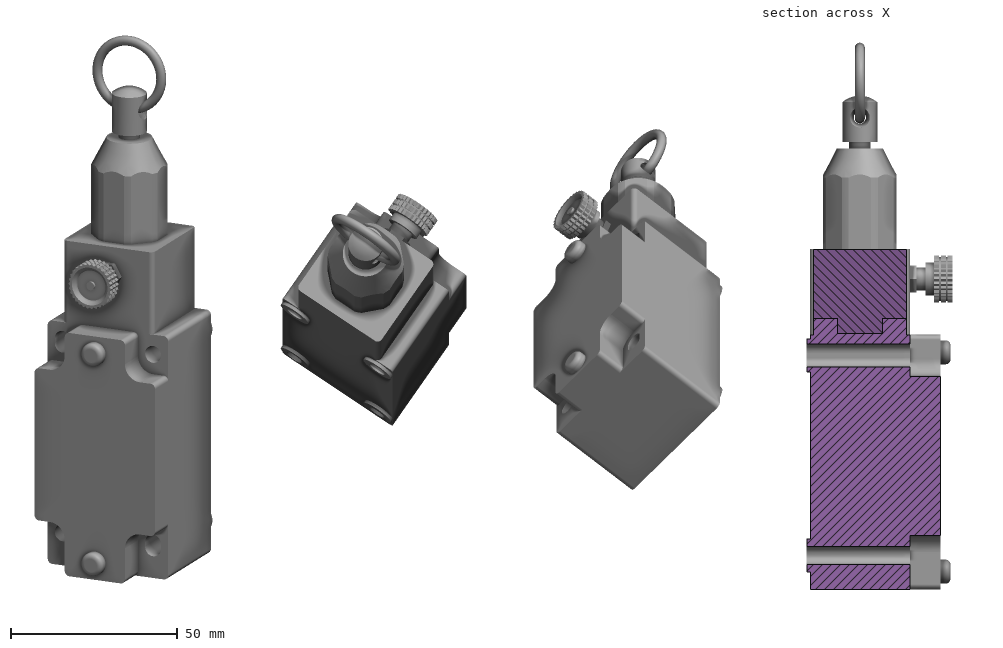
import cadquery as cq
import math


HOUSING_WIDTH = 40.0
HOUSING_HEIGHT = 76.4
HEAD_WIDTH = 30.0
BACK_Y = HEAD_WIDTH / 2
LEDGE_Y = -HEAD_WIDTH / 2
FRONT_Y = -24.2
EDGE_RADIUS = 1.5
COVER_TAB_WIDTH = 20.0
TOP_NOTCH_HEIGHT = 12.4
BOTTOM_NOTCH_HEIGHT = 16.2
NOTCH_RADIUS = 5.0

HOLE_X = 15.0
LOW_HOLE_Z = 10.2
HIGH_HOLE_Z = 70.2
HOLE_DIAMETER = 5.3
SLOT_LENGTH = 6.8
PAD_DIAMETER = 10.0
PAD_HEIGHT = 1.0

SCREW_INSET = 5.3
SCREW_RADIUS = 3.6
SCREW_HEIGHT = 3.0
SCREW_ROUNDING = 1.5

PEDESTAL_HEIGHT = 0.5
LUG_HEIGHT = 4.5
TONGUE_WIDTH = 13.4

HEAD_TOP_Z = 102.1
BARREL_FLATS = 8
BARREL_ACROSS_FLATS = 22.0
BARREL_RADIUS = 11.5
BARREL_TOP_RADIUS = 6.9
BARREL_TOP_Z = 132.3
BARREL_CONE_Z = 123.5

ROD_RADIUS = 5.25
NECK_RADIUS = 3.25
NECK_HALF_LENGTH = 0.95
EYE_SHOULDER_Z = 146.2
DOME_HEIGHT = 1.9
EYE_HOLE_Z = 141.55
EYE_THROAT_RADIUS = 1.8
EYE_MOUTH_RADIUS = 2.95

RING_TOP_Z = 164.0
RING_WIRE_RADIUS = 1.5
RING_MEAN_RADIUS = 10.6

KNOB_Z = 93.1
KNOB_NUT_ACROSS_FLATS = 8.0
KNOB_NUT_SIDES = 6
KNOB_NUT_LENGTH = 2.0
KNOB_NECK_RADIUS = 3.5
KNOB_NECK_LENGTH = 2.7
KNOB_COLLAR_RADIUS = 5.0
KNOB_FRONT_Y = -27.8
KNURL_RADIUS = 7.1
KNURL_ROOT_RADIUS = 6.6
KNURL_BANDS = 3
KNURL_BAND_LENGTH = 1.5
KNURL_GAP = 0.5
KNURL_TEETH = 30
RECESS_RIM_RADIUS = 5.9
RECESS_FLOOR_RADIUS = 4.7
RECESS_DEPTH = 1.2
KNOB_PIN_RADIUS = 1.3
KNOB_PIN_HEIGHT = 0.8

PEDESTAL_TOP_Z = HOUSING_HEIGHT + PEDESTAL_HEIGHT
LUG_TOP_Z = PEDESTAL_TOP_Z + LUG_HEIGHT
NECK_JOINT_Z = BARREL_TOP_Z + NECK_HALF_LENGTH
EYE_BOTTOM_Z = NECK_JOINT_Z + NECK_HALF_LENGTH
RING_Z = RING_TOP_Z - RING_WIRE_RADIUS - RING_MEAN_RADIUS
LUG_SIZE = (HEAD_WIDTH - TONGUE_WIDTH) / 2
LUG_CENTER = (HEAD_WIDTH - LUG_SIZE) / 2
KNURL_LENGTH = KNURL_BANDS * KNURL_BAND_LENGTH + (KNURL_BANDS - 1) * KNURL_GAP


def box_on(width, depth, bottom_z, top_z):
    """Box centred on the Z axis between two heights."""
    return cq.Workplane("XY").workplane(offset=bottom_z).rect(width, depth).extrude(top_z - bottom_z)


def round_column(radius, bottom_z, top_z):
    """Cylinder on the Z axis between two heights."""
    return cq.Workplane("XY").workplane(offset=bottom_z).circle(radius).extrude(top_z - bottom_z)


def facing_front(y, x=0.0, z=0.0):
    """Workplane at depth y, looking toward -Y; its local axes are X and Z."""
    return cq.Workplane("XZ", origin=(x, y, z))


def across_corners(across_flats, sides):
    """Corner-to-corner size of an even-sided regular polygon."""
    return across_flats / math.cos(math.pi / sides)


def head_square(bottom_z, top_z):
    """Square column of the head, with rounded vertical edges."""
    return box_on(HEAD_WIDTH, HEAD_WIDTH, bottom_z, top_z).edges("|Z").fillet(EDGE_RADIUS)


def front_plate(width, height, center_z):
    """Plate from the ledges to the cover face, with rounded corners."""
    return (
        facing_front(LEDGE_Y, z=center_z)
        .rect(width, height)
        .extrude(LEDGE_Y - FRONT_Y)
        .edges("|Y")
        .fillet(EDGE_RADIUS)
    )


def cover_front():
    """Front layer of the housing: a tall tab crossed by a full-width belt."""
    belt_height = HOUSING_HEIGHT - TOP_NOTCH_HEIGHT - BOTTOM_NOTCH_HEIGHT
    belt_z = BOTTOM_NOTCH_HEIGHT + belt_height / 2
    tab = front_plate(COVER_TAB_WIDTH, HOUSING_HEIGHT, HOUSING_HEIGHT / 2)
    belt = front_plate(HOUSING_WIDTH, belt_height, belt_z)

    margin = 0.1
    reach_x = COVER_TAB_WIDTH / 2 + margin
    reach_z = belt_height / 2 + margin
    crossing = cq.selectors.BoxSelector(
        (-reach_x, FRONT_Y, belt_z - reach_z), (reach_x, LEDGE_Y, belt_z + reach_z)
    )
    return tab.union(belt).edges("|Y").edges(crossing).fillet(NOTCH_RADIUS)


def screw_head(z):
    """Rounded screw head on the cover."""
    return (
        facing_front(FRONT_Y, z=z)
        .circle(SCREW_RADIUS)
        .extrude(SCREW_HEIGHT)
        .faces("<Y")
        .edges()
        .fillet(SCREW_ROUNDING)
    )


def make_housing():
    depth = BACK_Y - LEDGE_Y
    housing = (
        facing_front(BACK_Y, z=HOUSING_HEIGHT / 2)
        .rect(HOUSING_WIDTH, HOUSING_HEIGHT)
        .extrude(depth)
        .edges("|Y")
        .fillet(EDGE_RADIUS)
        .union(cover_front())
    )

    lugs = (
        box_on(LUG_SIZE, LUG_SIZE, PEDESTAL_TOP_Z, LUG_TOP_Z)
        .translate((LUG_CENTER, LUG_CENTER, 0))
    )
    lugs = lugs.union(lugs.mirror("YZ"))
    lugs = lugs.union(lugs.mirror("XZ"))
    lugs = lugs.intersect(head_square(HOUSING_HEIGHT, LUG_TOP_Z))
    housing = housing.union(head_square(HOUSING_HEIGHT, PEDESTAL_TOP_Z)).union(lugs)

    for z in (SCREW_INSET, HOUSING_HEIGHT - SCREW_INSET):
        housing = housing.union(screw_head(z))

    for x in (-HOLE_X, HOLE_X):
        for z in (LOW_HOLE_Z, HIGH_HOLE_Z):
            pad = facing_front(BACK_Y + PAD_HEIGHT, x, z).circle(PAD_DIAMETER / 2).extrude(PAD_HEIGHT)
            housing = housing.union(pad)
    cut_depth = depth + PAD_HEIGHT
    for x, hole_z, slot_z in ((-HOLE_X, LOW_HOLE_Z, HIGH_HOLE_Z), (HOLE_X, HIGH_HOLE_Z, LOW_HOLE_Z)):
        hole = facing_front(BACK_Y + PAD_HEIGHT, x, hole_z).circle(HOLE_DIAMETER / 2).extrude(cut_depth)
        slot = (
            facing_front(BACK_Y + PAD_HEIGHT, x, slot_z)
            .slot2D(SLOT_LENGTH, HOLE_DIAMETER, 90)
            .extrude(cut_depth)
        )
        housing = housing.cut(hole).cut(slot)
    return housing


def knurl_band(y):
    """Toothed band whose rear face is at depth y."""
    tooth_angle = 2 * math.pi / KNURL_TEETH
    outline = []
    for tooth in range(KNURL_TEETH):
        tip = tooth * tooth_angle
        root = tip + tooth_angle / 2
        outline.append((KNURL_RADIUS * math.cos(tip), KNURL_RADIUS * math.sin(tip)))
        outline.append((KNURL_ROOT_RADIUS * math.cos(root), KNURL_ROOT_RADIUS * math.sin(root)))
    return facing_front(y, z=KNOB_Z).polyline(outline).close().extrude(KNURL_BAND_LENGTH)


def make_knob():
    neck_y = LEDGE_Y - KNOB_NUT_LENGTH
    collar_y = neck_y - KNOB_NECK_LENGTH
    knurl_y = KNOB_FRONT_Y + KNURL_LENGTH
    floor_y = KNOB_FRONT_Y + RECESS_DEPTH

    nut = (
        facing_front(LEDGE_Y, z=KNOB_Z)
        .polygon(KNOB_NUT_SIDES, across_corners(KNOB_NUT_ACROSS_FLATS, KNOB_NUT_SIDES))
        .extrude(KNOB_NUT_LENGTH)
    )
    neck = facing_front(neck_y, z=KNOB_Z).circle(KNOB_NECK_RADIUS).extrude(KNOB_NECK_LENGTH)
    collar = facing_front(collar_y, z=KNOB_Z).circle(KNOB_COLLAR_RADIUS).extrude(collar_y - knurl_y)
    core = facing_front(knurl_y, z=KNOB_Z).circle(KNURL_ROOT_RADIUS).extrude(KNURL_LENGTH)
    knob = nut.union(neck).union(collar).union(core)
    for band in range(KNURL_BANDS):
        knob = knob.union(knurl_band(knurl_y - band * (KNURL_BAND_LENGTH + KNURL_GAP)))

    recess = (
        facing_front(floor_y, z=KNOB_Z)
        .circle(RECESS_FLOOR_RADIUS)
        .workplane(offset=RECESS_DEPTH)
        .circle(RECESS_RIM_RADIUS)
        .loft()
    )
    pin = facing_front(floor_y, z=KNOB_Z).circle(KNOB_PIN_RADIUS).extrude(KNOB_PIN_HEIGHT)
    return knob.cut(recess).union(pin)


def make_barrel():
    """Coned round barrel with eight flats."""
    turned = (
        cq.Workplane("XZ")
        .moveTo(0, HEAD_TOP_Z)
        .lineTo(BARREL_RADIUS, HEAD_TOP_Z)
        .lineTo(BARREL_RADIUS, BARREL_CONE_Z)
        .lineTo(BARREL_TOP_RADIUS, BARREL_TOP_Z)
        .lineTo(0, BARREL_TOP_Z)
        .close()
        .revolve(360, (0, 0, 0), (0, 1, 0))
    )
    flats = (
        cq.Workplane("XY")
        .workplane(offset=HEAD_TOP_Z)
        .transformed(rotate=(0, 0, 180 / BARREL_FLATS))
        .polygon(BARREL_FLATS, across_corners(BARREL_ACROSS_FLATS, BARREL_FLATS))
        .extrude(BARREL_TOP_Z - HEAD_TOP_Z)
    )
    return turned.intersect(flats)


def make_head():
    """Head block and barrel, with the rod bore and the reset knob."""
    cross = box_on(TONGUE_WIDTH, HEAD_WIDTH, PEDESTAL_TOP_Z, LUG_TOP_Z).union(
        box_on(HEAD_WIDTH, TONGUE_WIDTH, PEDESTAL_TOP_Z, LUG_TOP_Z)
    )
    block = head_square(LUG_TOP_Z, HEAD_TOP_Z).union(cross)
    bore = round_column(ROD_RADIUS, HEAD_TOP_Z, BARREL_TOP_Z)
    return block.union(make_barrel()).cut(bore).union(make_knob())


def make_rod():
    """Rod flush with the barrel top, carrying the lower half of the neck."""
    shaft = round_column(ROD_RADIUS, HEAD_TOP_Z, BARREL_TOP_Z)
    neck = round_column(NECK_RADIUS, BARREL_TOP_Z, NECK_JOINT_Z)
    return shaft.union(neck)


def eye_hole():
    """Cross hole along X: a curved throat opening into a straight mouth at each side."""
    mouth_x = math.sqrt(ROD_RADIUS**2 - EYE_MOUTH_RADIUS**2)
    return (
        cq.Workplane("XZ", origin=(0, 0, EYE_HOLE_Z))
        .moveTo(-ROD_RADIUS, 0)
        .lineTo(-ROD_RADIUS, EYE_MOUTH_RADIUS)
        .lineTo(-mouth_x, EYE_MOUTH_RADIUS)
        .threePointArc((0, EYE_THROAT_RADIUS), (mouth_x, EYE_MOUTH_RADIUS))
        .lineTo(ROD_RADIUS, EYE_MOUTH_RADIUS)
        .lineTo(ROD_RADIUS, 0)
        .close()
        .revolve(360, (0, 0, 0), (1, 0, 0))
    )


def make_eye():
    """Domed pull eye, standing on the upper half of the neck."""
    dome_top_z = EYE_SHOULDER_Z + DOME_HEIGHT
    dome_radius = (ROD_RADIUS**2 + DOME_HEIGHT**2) / (2 * DOME_HEIGHT)
    dome_x = ROD_RADIUS / 2
    dome_z = dome_top_z - dome_radius + math.sqrt(dome_radius**2 - dome_x**2)
    turned = (
        cq.Workplane("XZ")
        .moveTo(0, NECK_JOINT_Z)
        .lineTo(NECK_RADIUS, NECK_JOINT_Z)
        .lineTo(NECK_RADIUS, EYE_BOTTOM_Z)
        .lineTo(ROD_RADIUS, EYE_BOTTOM_Z)
        .lineTo(ROD_RADIUS, EYE_SHOULDER_Z)
        .threePointArc((dome_x, dome_z), (0, dome_top_z))
        .close()
        .revolve(360, (0, 0, 0), (0, 1, 0))
    )
    return turned.cut(eye_hole())


def make_ring():
    """Wire ring in the XZ plane, threaded through the eye."""
    return cq.Workplane(
        cq.Solid.makeTorus(RING_MEAN_RADIUS, RING_WIRE_RADIUS, cq.Vector(0, 0, RING_Z), cq.Vector(0, 1, 0))
    )


housing = make_housing()
head = make_head()
rod = make_rod()
eye = make_eye()
ring = make_ring()

result = cq.Compound.makeCompound([
    housing.solids().val(),
    head.solids().val(),
    rod.solids().val(),
    eye.solids().val(),
    ring.val(),
])